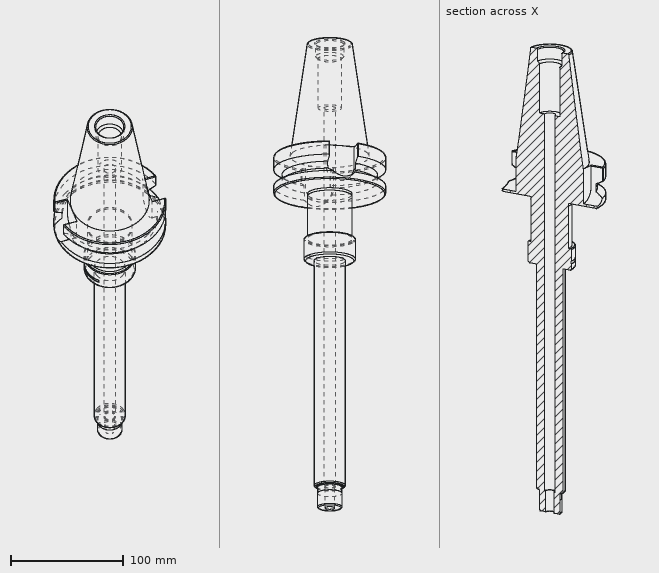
import cadquery as cq
import math


gauge_diameter = 69.85
taper_rate = 7 / 24
taper_length = 101.8
taper_mouth_diameter = 38.38
taper_mouth_chamfer = 0.85
taper_base = -2.0

flange_diameter = 100.0
flange_top = -3.0
flange_bottom = -38.0
flange_edge_chamfer = 1.0
groove_floor_diameter = 85.0
groove_center = -23.2
groove_floor_width = 6.5
groove_wall_angle = 30.0

slot_width = 25.7
slot_floor_distance = 35.4
slot_bottom = -35.4
slot_edge_chamfer = 0.8

shoulder_diameter = 40.05
shoulder_length = 2.2
neck_diameter = 40.0
collar_diameter = 46.0
collar_top = -79.5
collar_bottom = -100.0
collar_top_chamfer = 0.8
collar_bottom_chamfer = 1.5
shank_diameter = 28.0
shank_bottom = -309.7
shank_chamfer = 1.0
pilot_root_chamfer = 0.8
pilot_relief_diameter = 21.8
pilot_relief_bottom = -315.8
pilot_diameter = 22.0
pilot_bottom = -329.5
pilot_chamfer = 1.0

band_top = -91.1
band_height = 2.5
band_depth = 0.2
band_half_angle = 46.5

mouth_countersink_diameter = 27.0
mouth_countersink_half_angle = 45.0
mouth_bore_diameter = 25.0
mouth_bore_depth = 12.0
thread_bore_diameter = 20.75
thread_bore_depth = 60.0
coolant_diameter = 10.5
outlet_diameter = 8.5


def body():
    """Solid of revolution carrying every outside diameter."""
    mouth_radius = taper_mouth_diameter / 2
    gauge_radius = gauge_diameter / 2
    base_radius = gauge_radius - taper_base * taper_rate / 2
    mouth_edge = taper_length - taper_mouth_chamfer
    mouth_edge_radius = gauge_radius - mouth_edge * taper_rate / 2
    flange_radius = flange_diameter / 2
    flange_face_radius = flange_radius - flange_edge_chamfer
    floor_radius = groove_floor_diameter / 2
    floor_half = groove_floor_width / 2
    rim_half = floor_half + (flange_radius - floor_radius) * math.tan(math.radians(groove_wall_angle))
    shoulder_bottom = flange_bottom - shoulder_length
    collar_radius = collar_diameter / 2
    shank_radius = shank_diameter / 2
    pilot_radius = pilot_diameter / 2
    relief_radius = pilot_relief_diameter / 2
    outline = [
        (0, taper_length),
        (mouth_radius, taper_length),
        (mouth_edge_radius, mouth_edge),
        (base_radius, taper_base),
        (base_radius, flange_top),
        (flange_face_radius, flange_top),
        (flange_radius, flange_top - flange_edge_chamfer),
        (flange_radius, groove_center + rim_half),
        (floor_radius, groove_center + floor_half),
        (floor_radius, groove_center - floor_half),
        (flange_radius, groove_center - rim_half),
        (flange_radius, flange_bottom + flange_edge_chamfer),
        (flange_face_radius, flange_bottom),
        (shoulder_diameter / 2, flange_bottom),
        (shoulder_diameter / 2, shoulder_bottom),
        (neck_diameter / 2, shoulder_bottom),
        (neck_diameter / 2, collar_top),
        (collar_radius - collar_top_chamfer, collar_top),
        (collar_radius, collar_top - collar_top_chamfer),
        (collar_radius, collar_bottom + collar_bottom_chamfer),
        (collar_radius - collar_bottom_chamfer, collar_bottom),
        (shank_radius, collar_bottom),
        (shank_radius, shank_bottom + shank_chamfer),
        (shank_radius - shank_chamfer, shank_bottom),
        (relief_radius + pilot_root_chamfer, shank_bottom),
        (relief_radius, shank_bottom - pilot_root_chamfer),
        (relief_radius, pilot_relief_bottom),
        (pilot_radius, pilot_relief_bottom),
        (pilot_radius, pilot_bottom + pilot_chamfer),
        (pilot_radius - pilot_chamfer, pilot_bottom),
        (0, pilot_bottom),
    ]
    return cq.Workplane("XZ").polyline(outline).close().revolve(360, (0, 0, 0), (0, 1, 0))


def driving_slot():
    """Round-bottomed slot through the flange rim on the -Y side, with bevelled upper edges."""
    half_width = slot_width / 2
    flange_radius = flange_diameter / 2
    arc_center = slot_bottom + half_width
    channel = (
        cq.Workplane("XZ", origin=(0, -slot_floor_distance, 0))
        .moveTo(-half_width, flange_top)
        .lineTo(-half_width, arc_center)
        .threePointArc((0, slot_bottom), (half_width, arc_center))
        .lineTo(half_width, flange_top)
        .close()
        .extrude(flange_radius)
    )
    bevelled_half_width = half_width + slot_edge_chamfer
    top_bevel = (
        cq.Workplane("XZ", origin=(0, -slot_floor_distance, 0))
        .moveTo(-half_width, flange_top - slot_edge_chamfer)
        .lineTo(half_width, flange_top - slot_edge_chamfer)
        .lineTo(bevelled_half_width, flange_top)
        .lineTo(-bevelled_half_width, flange_top)
        .close()
        .extrude(flange_radius)
    )
    rim_distance = math.sqrt(flange_radius**2 - bevelled_half_width**2)
    rim_bevel = (
        cq.Workplane("XY", origin=(0, 0, flange_top))
        .moveTo(-half_width, slot_edge_chamfer - rim_distance)
        .lineTo(half_width, slot_edge_chamfer - rim_distance)
        .lineTo(half_width + 2 * slot_edge_chamfer, -rim_distance - slot_edge_chamfer)
        .lineTo(-half_width - 2 * slot_edge_chamfer, -rim_distance - slot_edge_chamfer)
        .close()
        .extrude(groove_center - flange_top)
    )
    return channel.union(top_bevel).union(rim_bevel)


def collar_band():
    """Ring sector centred on -Y that sinks a narrow band into the collar."""
    collar_radius = collar_diameter / 2
    floor_radius = collar_radius - band_depth
    return (
        cq.Workplane("XZ")
        .moveTo(floor_radius, band_top)
        .lineTo(collar_radius, band_top)
        .lineTo(collar_radius, band_top - band_height)
        .lineTo(floor_radius, band_top - band_height)
        .close()
        .revolve(2 * band_half_angle, (0, 0, 0), (0, 1, 0))
        .rotate((0, 0, 0), (0, 0, 1), -90 - band_half_angle)
    )


def axial_bore():
    """Countersunk mouth, thread bore and coolant bore, narrowing to the outlet in the pilot."""
    countersink_radius = mouth_countersink_diameter / 2
    mouth_radius = mouth_bore_diameter / 2
    thread_radius = thread_bore_diameter / 2
    coolant_radius = coolant_diameter / 2
    outlet_radius = outlet_diameter / 2
    countersink_depth = (countersink_radius - mouth_radius) / math.tan(
        math.radians(mouth_countersink_half_angle)
    )
    mouth_floor = taper_length - mouth_bore_depth
    thread_floor = taper_length - thread_bore_depth
    outline = [
        (0, taper_length),
        (countersink_radius, taper_length),
        (mouth_radius, taper_length - countersink_depth),
        (mouth_radius, mouth_floor),
        (thread_radius, mouth_floor - (mouth_radius - thread_radius)),
        (thread_radius, thread_floor),
        (coolant_radius, thread_floor),
        (coolant_radius, shank_bottom),
        (outlet_radius, shank_bottom),
        (outlet_radius, pilot_bottom),
        (0, pilot_bottom),
    ]
    return cq.Workplane("XZ").polyline(outline).close().revolve(360, (0, 0, 0), (0, 1, 0))


result = body()
for slot_angle in (0, 180):
    result = result.cut(driving_slot().rotate((0, 0, 0), (0, 0, 1), slot_angle))
result = result.cut(collar_band())
result = result.cut(axial_bore())